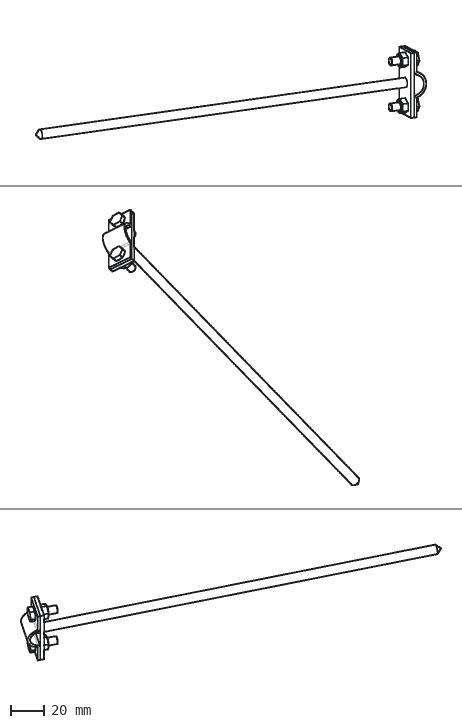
import cadquery as cq
import math

overall_length = 260.5
clamp_width = 16.0
clamp_height = 41.0

plate_thickness = 2.3
strap_thickness = 1.7
saddle_outer_radius = 8.0
saddle_inner_radius = saddle_outer_radius - strap_thickness
bend_radius = 1.0
outer_bend_radius = bend_radius + strap_thickness

rod_diameter = 6.0
rod_tip_y = saddle_outer_radius - overall_length

bolt_spacing = 29.0
bolt_diameter = 5.0
bolt_end_diameter = 4.2
bolt_end_chamfer = (bolt_diameter - bolt_end_diameter) / 2
bolt_end_y = -12.5
hex_across_flats = 8.0
hex_across_corners = hex_across_flats / math.cos(math.pi / 6)
hex_face_diameter = 6.8
hex_chamfer_angle = math.radians(30)
head_height = 3.5
head_corner_angle = -5
nut_height = 4.2
nut_corner_angle = 90
bolt_heights = [-bolt_spacing / 2, bolt_spacing / 2]


def cylinder(diameter, start_y, end_y, z=0):
    """Cylinder along Y, from start_y down to end_y."""
    base = cq.Workplane("XZ", origin=(0, start_y, z))
    return base.circle(diameter / 2).extrude(start_y - end_y)


def chamfered_hex(start_y, height, z, corner_angle):
    """Hexagonal prism along -Y, with the corners of its -Y end turned off by a cone."""
    end_y = start_y - height
    corner_radius = hex_across_corners / 2
    face_radius = hex_face_diameter / 2
    cone_depth = (corner_radius - face_radius) * math.tan(hex_chamfer_angle)
    prism = (
        cq.Workplane("XZ", origin=(0, start_y, z))
        .transformed(rotate=(0, 0, corner_angle))
        .polygon(6, hex_across_corners)
        .extrude(height)
    )
    envelope = (
        cq.Workplane("XY", origin=(0, 0, z))
        .moveTo(0, start_y)
        .lineTo(corner_radius, start_y)
        .lineTo(corner_radius, end_y + cone_depth)
        .lineTo(face_radius, end_y)
        .lineTo(0, end_y)
        .close()
        .revolve(360, (0, 0, 0), (0, 1, 0))
    )
    return prism.intersect(envelope)


def drill_bolt_holes(body):
    """Cut the two bolt holes through a clamp part."""
    for z in bolt_heights:
        body = body.cut(cylinder(bolt_diameter, strap_thickness, -plate_thickness, z))
    return body


def make_plate():
    """Flat plate with two bolt holes and a hole that holds the rod."""
    plate = cq.Workplane("XY").box(clamp_width, plate_thickness, clamp_height)
    plate = plate.translate((0, -plate_thickness / 2, 0))
    plate = plate.cut(cylinder(rod_diameter, 0, -plate_thickness))
    return drill_bolt_holes(plate)


def make_strap():
    """Strap with two flat ends and a half-round saddle bent out of its middle."""
    flat = cq.Workplane("XY").box(clamp_width, strap_thickness, clamp_height)
    flat = flat.translate((0, strap_thickness / 2, 0))
    half_width = clamp_width / 2
    start = cq.Workplane("YZ", origin=(-half_width, 0, 0))
    saddle = start.circle(saddle_outer_radius).extrude(clamp_width)
    channel = start.circle(saddle_inner_radius).extrude(clamp_width)
    below = cq.Workplane("XY").box(clamp_width, saddle_outer_radius, clamp_height)
    below = below.translate((0, -saddle_outer_radius / 2, 0))
    strap = flat.union(saddle).cut(channel).cut(below)

    bend_z = math.sqrt(saddle_outer_radius**2 - strap_thickness**2)
    for z in (-bend_z, bend_z):
        bend_edge = cq.selectors.NearestToPointSelector((0, strap_thickness, z))
        strap = strap.edges("|X").edges(bend_edge).fillet(bend_radius)
    for z in (-saddle_inner_radius, saddle_inner_radius):
        bend_edge = cq.selectors.NearestToPointSelector((0, 0, z))
        strap = strap.edges("|X").edges(bend_edge).fillet(outer_bend_radius)
    return drill_bolt_holes(strap)


def make_rod():
    """Round rod seated in the plate and pointed at its free end."""
    rod_radius = rod_diameter / 2
    return (
        cq.Workplane("XY")
        .lineTo(rod_radius, 0)
        .lineTo(rod_radius, rod_tip_y + rod_radius)
        .lineTo(0, rod_tip_y)
        .close()
        .revolve(360, (0, 0, 0), (0, 1, 0))
    )


def make_bolt(z):
    """Bolt with its head on the strap, two of its corners turned slightly off X."""
    head = chamfered_hex(strap_thickness + head_height, head_height, z, head_corner_angle)
    shank = cylinder(bolt_diameter, strap_thickness, bolt_end_y, z)
    return head.union(shank.faces("<Y").chamfer(bolt_end_chamfer))


def make_nut(z):
    """Nut against the plate, two of its corners pointing along Z."""
    nut = chamfered_hex(-plate_thickness, nut_height, z, nut_corner_angle)
    return nut.cut(cylinder(bolt_diameter, -plate_thickness, -plate_thickness - nut_height, z))


plate = make_plate()
strap = make_strap()
rod = make_rod()
bolts = [make_bolt(z).val() for z in bolt_heights]
nuts = [make_nut(z).val() for z in bolt_heights]

result = cq.Compound.makeCompound([plate.val(), strap.val(), rod.val(), *bolts, *nuts])